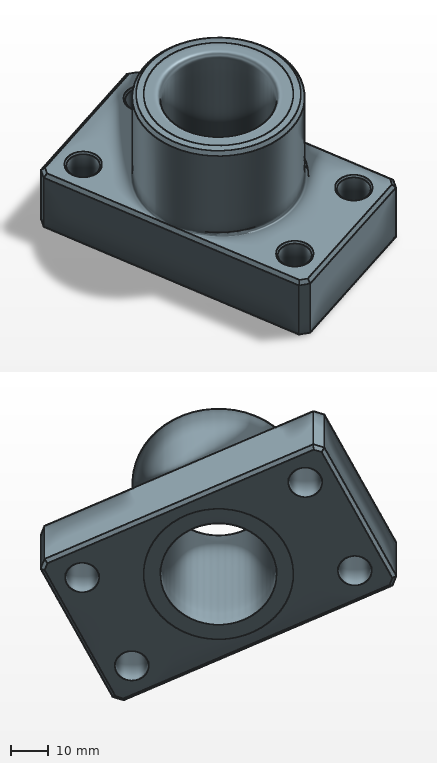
import cadquery as cq

PLATE_LENGTH = 84.0
PLATE_WIDTH = 48.0
PLATE_THICKNESS = 20.0
CORNER_CHAMFER = 2.2
EDGE_CHAMFER = 1.0

HOLE_DIAMETER = 9.0
HOLE_SPACING_X = 66.0
HOLE_SPACING_Y = 30.0
HOLE_CHAMFER = 0.5

TOTAL_HEIGHT = 50.0
SLEEVE_DIAMETER = 45.9
SLEEVE_CHAMFER = 1.0
ROOT_FILLET = 1.0

BUSHING_DIAMETER = 39.8
BORE_DIAMETER = 30.9
BORE_FILLET = 2.0


def make_plate():
    """Chamfered rectangular plate standing on Z = 0."""
    plate = cq.Workplane("XY").box(
        PLATE_LENGTH, PLATE_WIDTH, PLATE_THICKNESS, centered=(True, True, False)
    )
    plate = plate.edges("|Z").chamfer(CORNER_CHAMFER)
    return plate.faces("<Z or >Z").edges().chamfer(EDGE_CHAMFER)


def make_sleeve():
    """Outer cylinder with a chamfered top rim."""
    sleeve = cq.Workplane("XY").circle(SLEEVE_DIAMETER / 2).extrude(TOTAL_HEIGHT)
    return sleeve.faces(">Z").edges().chamfer(SLEEVE_CHAMFER)


def make_mounting_hole_cutter():
    """Cutter for one through hole, chamfered at the top face of the plate."""
    hole_radius = HOLE_DIAMETER / 2
    rim_radius = hole_radius + HOLE_CHAMFER
    profile = [
        (0, 0),
        (hole_radius, 0),
        (hole_radius, PLATE_THICKNESS - HOLE_CHAMFER),
        (rim_radius, PLATE_THICKNESS),
        (0, PLATE_THICKNESS),
    ]
    return cq.Workplane("XZ").polyline(profile).close().revolve()


def fillet_sleeve_root(housing):
    """Round the circle where the sleeve meets the top face of the plate."""
    root = cq.selectors.BoxSelector(
        (-SLEEVE_DIAMETER, -SLEEVE_DIAMETER, PLATE_THICKNESS - ROOT_FILLET / 2),
        (SLEEVE_DIAMETER, SLEEVE_DIAMETER, PLATE_THICKNESS + ROOT_FILLET / 2),
    )
    return housing.edges(root).edges("%CIRCLE").fillet(ROOT_FILLET)


def make_housing():
    """Plate and sleeve with a bore for the bushing and four mounting holes."""
    housing = fillet_sleeve_root(make_plate().union(make_sleeve()))
    bore = cq.Workplane("XY").circle(BUSHING_DIAMETER / 2).extrude(TOTAL_HEIGHT)
    housing = housing.cut(bore)
    hole = make_mounting_hole_cutter()
    for x in (-HOLE_SPACING_X / 2, HOLE_SPACING_X / 2):
        for y in (-HOLE_SPACING_Y / 2, HOLE_SPACING_Y / 2):
            housing = housing.cut(hole.translate((x, y, 0)))
    return housing


def make_bushing():
    """Full-height liner with a rounded mouth at the top of its bore."""
    bushing = (
        cq.Workplane("XY")
        .circle(BUSHING_DIAMETER / 2)
        .circle(BORE_DIAMETER / 2)
        .extrude(TOTAL_HEIGHT)
    )
    bore_rim = cq.selectors.RadiusNthSelector(0)
    return bushing.faces(">Z").edges(bore_rim).fillet(BORE_FILLET)


housing = make_housing()
bushing = make_bushing()
result = cq.Compound.makeCompound([housing.val(), bushing.val()])